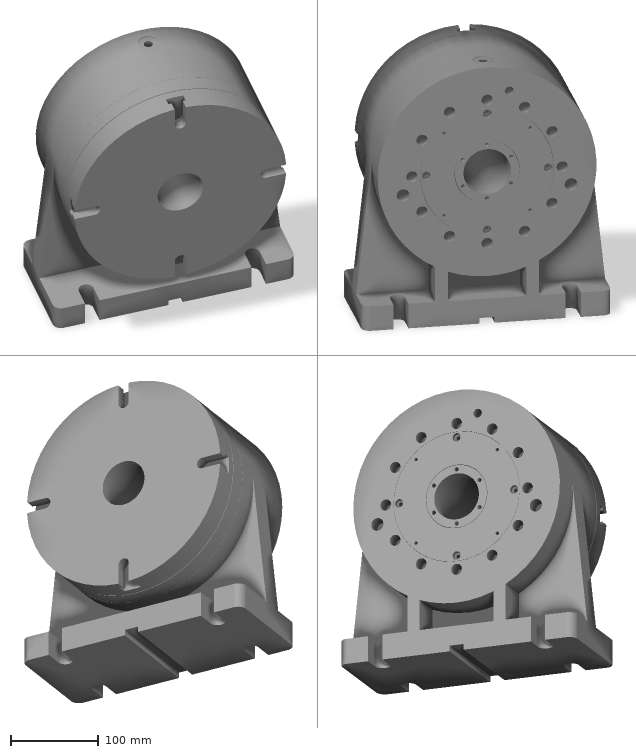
import cadquery as cq
import math


TOTAL_HEIGHT = 312.5
TOTAL_LENGTH = 143.0
BARREL_D = 255.0
BARREL_R = BARREL_D / 2
AXIS_Z = TOTAL_HEIGHT - BARREL_R

BARREL_END_X = 92.0
COLLAR_END_X = 112.5
COLLAR_D = 254.7

FOOT_LENGTH = 125.0
FOOT_WIDTH = 290.0
FOOT_HEIGHT = 30.0
FOOT_CORNER_R = 10.0
FOOT_SLOT_WIDTH = 17.5
FOOT_SLOT_STRAIGHT = 22.5
FOOT_SLOT_Y = 100.3
KEYWAY_WIDTH = 17.5
KEYWAY_HEIGHT = 7.0

WEB_START_X = 40.0
WEB_END_X = 67.2
LEG_OUTER_Y = 60.5
LEG_INNER_Y = 45.5

REAR_HOLE_COUNT = 12
REAR_HOLE_D = 13.0
REAR_HOLE_CIRCLE_R = 87.5
SIDE_HOLE_D = 15.0
SIDE_HOLE_Y = 97.8
SIDE_HOLE_DROP = 22.2
PORT_D = 10.3
PORT_Y = -26.0
PORT_RISE = 97.0
REAR_HOLE_DEPTH = 18.8

FILLER_X = 25.0
FILLER_D = 10.3
FILLER_DEPTH = 18.8
FILLER_SPOTFACE_D = 25.0
FILLER_SPOTFACE_DEPTH = 1.0

COVER_D = 155.0
COVER_RECESS_D = 155.5
COVER_THICKNESS = 15.0
COVER_BORE_D = 76.0
COVER_HOLE_COUNT = 4
COVER_HOLE_CIRCLE_R = 71.0
SCREW_HOLE_D = 4.7
SCREW_HEAD_D = 10.0
SCREW_HEAD_DEPTH = 5.0
JACK_HOLE_D = 4.0
JACK_HOLE_ANGLE = 45.0

HUB_D = 75.0
SHAFT_D = 80.0
BORE_D = 55.0
HUB_HOLE_COUNT = 6
HUB_HOLE_D = 5.0
HUB_HOLE_CIRCLE_R = 32.5
HUB_HOLE_DEPTH = 10.0
TABLE_GAP = 1.0
TABLE_START_X = COLLAR_END_X + TABLE_GAP

T_SLOT_COUNT = 4
T_SLOT_START_X = 123.0
T_SLOT_NECK_X = 132.0
T_SLOT_WIDTH = 20.5
T_SLOT_NECK_WIDTH = 13.0
T_SLOT_END_R = 103.0
T_SLOT_CHAMFER = 1.0


def x_cylinder(diameter, start_x, end_x):
    """Cylinder about the spindle axis between two X positions."""
    return (
        cq.Workplane("YZ", origin=(start_x, 0, AXIS_Z))
        .circle(diameter / 2)
        .extrude(end_x - start_x)
    )


def box_between(x0, x1, y0, y1, z0, z1):
    """Box given by its limits on each axis."""
    return cq.Workplane("XY").box(x1 - x0, y1 - y0, z1 - z0, centered=False).translate((x0, y0, z0))


def circle_places(count, radius, first_angle=90.0):
    """(y, z) places equally spaced on a circle about the spindle axis."""
    angles = [math.radians(first_angle + 360.0 * i / count) for i in range(count)]
    return [(radius * math.cos(a), AXIS_Z + radius * math.sin(a)) for a in angles]


def rear_holes(places, diameter, depth):
    """Holes drilled from the rear face at X = 0, as one cutting shape."""
    return cq.Workplane("YZ").pushPoints(places).circle(diameter / 2).extrude(depth)


def make_foot():
    foot = box_between(0, FOOT_LENGTH, -FOOT_WIDTH / 2, FOOT_WIDTH / 2, 0, FOOT_HEIGHT)
    foot = foot.edges("|Z").fillet(FOOT_CORNER_R)

    for edge_x in (0, FOOT_LENGTH):
        for y in (-FOOT_SLOT_Y, FOOT_SLOT_Y):
            slot = (
                cq.Workplane("XY", origin=(edge_x, y, 0))
                .slot2D(2 * FOOT_SLOT_STRAIGHT + FOOT_SLOT_WIDTH, FOOT_SLOT_WIDTH)
                .extrude(FOOT_HEIGHT)
            )
            foot = foot.cut(slot)

    keyway = box_between(0, FOOT_LENGTH, -KEYWAY_WIDTH / 2, KEYWAY_WIDTH / 2, 0, KEYWAY_HEIGHT)
    return foot.cut(keyway)


def make_web():
    """Web whose sides rise from the foot edges and run tangent into the barrel."""
    half_width = FOOT_WIDTH / 2
    drop = AXIS_Z - FOOT_HEIGHT
    corner_angle = math.atan2(-drop, half_width)
    tangent_angle = corner_angle + math.acos(BARREL_R / math.hypot(half_width, drop))
    tangent_y = BARREL_R * math.cos(tangent_angle)
    tangent_z = AXIS_Z + BARREL_R * math.sin(tangent_angle)
    return (
        cq.Workplane("YZ", origin=(WEB_START_X, 0, 0))
        .moveTo(-half_width, FOOT_HEIGHT)
        .lineTo(half_width, FOOT_HEIGHT)
        .lineTo(tangent_y, tangent_z)
        .lineTo(-tangent_y, tangent_z)
        .close()
        .extrude(WEB_END_X - WEB_START_X)
    )


def make_leg(side):
    """Leg from the foot up into the barrel; side is +1 or -1 along Y."""
    y0, y1 = sorted((side * LEG_INNER_Y, side * LEG_OUTER_Y))
    return box_between(0, WEB_START_X, y0, y1, FOOT_HEIGHT, AXIS_Z)


def make_housing():
    housing = x_cylinder(BARREL_D, 0, BARREL_END_X)
    housing = housing.union(x_cylinder(COLLAR_D, BARREL_END_X, COLLAR_END_X))
    housing = housing.union(make_foot()).union(make_web())
    for side in (-1, 1):
        housing = housing.union(make_leg(side))

    housing = housing.cut(x_cylinder(SHAFT_D, 0, COLLAR_END_X))
    housing = housing.cut(x_cylinder(COVER_RECESS_D, 0, COVER_THICKNESS))

    ring = circle_places(REAR_HOLE_COUNT, REAR_HOLE_CIRCLE_R)
    housing = housing.cut(rear_holes(ring, REAR_HOLE_D, REAR_HOLE_DEPTH))
    side_places = [(y, AXIS_Z - SIDE_HOLE_DROP) for y in (-SIDE_HOLE_Y, SIDE_HOLE_Y)]
    housing = housing.cut(rear_holes(side_places, SIDE_HOLE_D, REAR_HOLE_DEPTH))
    housing = housing.cut(rear_holes([(PORT_Y, AXIS_Z + PORT_RISE)], PORT_D, REAR_HOLE_DEPTH))

    filler_top = cq.Workplane("XY", origin=(FILLER_X, 0, TOTAL_HEIGHT))
    housing = housing.cut(filler_top.circle(FILLER_SPOTFACE_D / 2).extrude(-FILLER_SPOTFACE_DEPTH))
    return housing.cut(filler_top.circle(FILLER_D / 2).extrude(-FILLER_DEPTH))


def make_cover():
    cover = x_cylinder(COVER_D, 0, COVER_THICKNESS)
    cover = cover.cut(x_cylinder(COVER_BORE_D, 0, COVER_THICKNESS))
    screw_places = circle_places(COVER_HOLE_COUNT, COVER_HOLE_CIRCLE_R)
    cover = cover.cut(rear_holes(screw_places, SCREW_HOLE_D, COVER_THICKNESS))
    cover = cover.cut(rear_holes(screw_places, SCREW_HEAD_D, SCREW_HEAD_DEPTH))
    jack_places = circle_places(COVER_HOLE_COUNT, COVER_HOLE_CIRCLE_R, JACK_HOLE_ANGLE)
    return cover.cut(rear_holes(jack_places, JACK_HOLE_D, COVER_THICKNESS))


def round_ended_slot(width, start_x, end_x):
    """Radial slot at the top of the table plate: half-round inner end, chamfered mouth edges."""
    half = width / 2
    end_z = AXIS_Z + T_SLOT_END_R
    mouth_z = AXIS_Z + math.sqrt(BARREL_R**2 - half**2)
    chamfer_z = mouth_z - T_SLOT_CHAMFER
    top_z = TOTAL_HEIGHT + T_SLOT_CHAMFER
    top_half = half + top_z - chamfer_z
    return (
        cq.Workplane("YZ", origin=(start_x, 0, 0))
        .moveTo(-half, end_z)
        .threePointArc((0, end_z - half), (half, end_z))
        .lineTo(half, chamfer_z)
        .lineTo(top_half, top_z)
        .lineTo(-top_half, top_z)
        .lineTo(-half, chamfer_z)
        .close()
        .extrude(end_x - start_x)
    )


def make_spindle():
    spindle = x_cylinder(HUB_D, 0, COVER_THICKNESS)
    spindle = spindle.union(x_cylinder(SHAFT_D, COVER_THICKNESS, TABLE_START_X))
    spindle = spindle.union(x_cylinder(BARREL_D, TABLE_START_X, TOTAL_LENGTH))
    spindle = spindle.cut(x_cylinder(BORE_D, 0, TOTAL_LENGTH))

    hub_places = circle_places(HUB_HOLE_COUNT, HUB_HOLE_CIRCLE_R)
    spindle = spindle.cut(rear_holes(hub_places, HUB_HOLE_D, HUB_HOLE_DEPTH))

    t_slot = round_ended_slot(T_SLOT_WIDTH, T_SLOT_START_X, T_SLOT_NECK_X)
    t_slot = t_slot.union(round_ended_slot(T_SLOT_NECK_WIDTH, T_SLOT_NECK_X, TOTAL_LENGTH))
    for i in range(T_SLOT_COUNT):
        angle = 360.0 * i / T_SLOT_COUNT
        spindle = spindle.cut(t_slot.rotate((0, 0, AXIS_Z), (1, 0, AXIS_Z), angle))
    return spindle


housing = make_housing()
cover = make_cover()
spindle = make_spindle()

result = cq.Compound.makeCompound([housing.val(), cover.val(), spindle.val()])